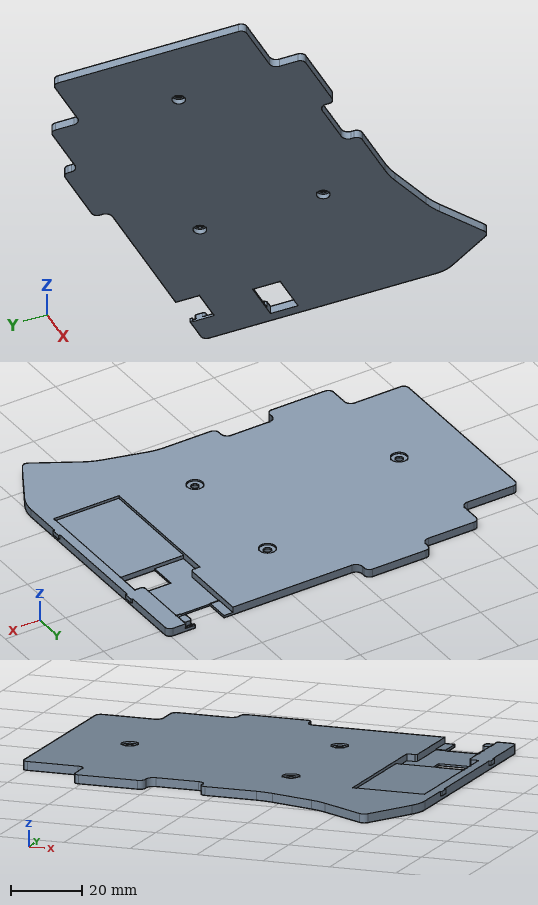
import cadquery as cq
import math

THICKNESS = 2.6
KEY_PITCH = 19.05
EDGE_MARGIN = 1.05
STAGGER = KEY_PITCH / 4
OVERALL_Y = 97.18
RIGHT_X = 122.55

OUTER_RADIUS = 1.7
INNER_RADIUS = 2.1
THUMB_RADIUS = 20.0
PALM_RADIUS = 11.6
THUMB_BEND = math.radians(15)
THUMB_START_X = 76.9
THUMB_BEND_X = 95.1

SCREW_DIAMETER = 2.4
HEAD_DIAMETER = 5.0
HEAD_DEPTH = 0.5
INSERT_DIAMETER = 3.8
INSERT_DEPTH = 1.6
SCREW_LEFT_X = 21.05
SCREW_RIGHT_X = 76.9
SCREW_MID_Y = 53.5

BUMP_REACH = 0.5
BUMP_LENGTH = 3.0
BUMP_HEIGHT = 1.3

BOARD_X = (101.0, 116.7)
BOARD_BOTTOM_Y = 70.3
BOARD_FLOOR = 0.6
BOARD_CORNER_CHAMFER = 0.6
BATTERY_X = (98.0, 119.6)
BATTERY_Y = (27.8, 61.8)
BATTERY_FLOOR = 1.75
CABLE_WINDOW_LEFT_X = 107.6

PORT_X = (103.95, 113.85)
PORT_BOTTOM_Y = 85.1
LEDGE_TOP = 0.8
LIP_LEFT_X = 113.45
LIP_WIDTH = 0.8
LIP_TOP = 1.0
SHOULDER_WIDTH = 0.4

POST_Y = (87.9, 91.2)
POST_TOP = 2.2
POST_CORNER_RADIUS = 0.7

tab_top_y = OVERALL_Y
main_top_y = tab_top_y - STAGGER
left_top_y = main_top_y - 2 * STAGGER
left_bottom_y = left_top_y - 3 * KEY_PITCH - 2 * EDGE_MARGIN
main_bottom_y = main_top_y - 4 * KEY_PITCH - 2 * EDGE_MARGIN
notch_bottom_y = main_bottom_y + STAGGER

step_x = KEY_PITCH
tab_left_x = 2 * KEY_PITCH
tab_right_x = 3 * KEY_PITCH + 2 * EDGE_MARGIN
notch_left_x = 2 * KEY_PITCH + 2 * EDGE_MARGIN
notch_right_x = 3 * KEY_PITCH

bump_mid_y = (left_top_y + left_bottom_y) / 2
bump_ys = (bump_mid_y - KEY_PITCH, bump_mid_y + KEY_PITCH)


def box(x_range, y_range, z_range):
    """Axis-aligned block between the given limits."""
    size = [high - low for low, high in (x_range, y_range, z_range)]
    corner = (x_range[0], y_range[0], z_range[0])
    return cq.Workplane("XY").box(*size, centered=False).translate(corner)


def make_plate():
    """Plate with the stepped key outline and the swept thumb corner."""
    thumb_bend_y = main_bottom_y - (THUMB_BEND_X - THUMB_START_X) * math.tan(THUMB_BEND)
    tip_angle = 2 * THUMB_BEND
    tip_y = OUTER_RADIUS * (1 - math.cos(tip_angle) - math.sin(tip_angle))
    tip_x = THUMB_BEND_X + (thumb_bend_y - tip_y) / math.tan(tip_angle)
    palm_y = tip_y + (RIGHT_X - tip_x) / math.tan(tip_angle)

    corners = [
        (0, left_bottom_y, OUTER_RADIUS),
        (step_x, left_bottom_y, INNER_RADIUS),
        (step_x, main_bottom_y, OUTER_RADIUS),
        (notch_left_x, main_bottom_y, OUTER_RADIUS),
        (notch_left_x, notch_bottom_y, INNER_RADIUS),
        (notch_right_x, notch_bottom_y, INNER_RADIUS),
        (notch_right_x, main_bottom_y, OUTER_RADIUS),
        (THUMB_START_X, main_bottom_y, THUMB_RADIUS),
        (THUMB_BEND_X, thumb_bend_y, THUMB_RADIUS),
        (tip_x, tip_y, OUTER_RADIUS),
        (RIGHT_X, palm_y, PALM_RADIUS),
        (RIGHT_X, main_top_y, OUTER_RADIUS),
        (tab_right_x, main_top_y, INNER_RADIUS),
        (tab_right_x, tab_top_y, OUTER_RADIUS),
        (tab_left_x, tab_top_y, OUTER_RADIUS),
        (tab_left_x, main_top_y, INNER_RADIUS),
        (step_x, main_top_y, OUTER_RADIUS),
        (step_x, left_top_y, INNER_RADIUS),
        (0, left_top_y, OUTER_RADIUS),
    ]
    outline = [(x, y) for x, y, radius in corners]
    plate = cq.Workplane("XY").polyline(outline).close().extrude(THICKNESS)
    for x, y, radius in corners:
        corner_edge = cq.selectors.NearestToPointSelector((x, y, THICKNESS / 2))
        plate = plate.edges(corner_edge).fillet(radius)
    return plate


def add_bumps(plate):
    """Small snap bumps along the upper half of the right-hand edge."""
    for y in bump_ys:
        bump = box(
            (RIGHT_X - BUMP_REACH, RIGHT_X + BUMP_REACH),
            (y - BUMP_LENGTH / 2, y + BUMP_LENGTH / 2),
            (THICKNESS - BUMP_HEIGHT, THICKNESS),
        )
        plate = plate.union(bump)
    return plate


def cut_screw_holes(plate):
    """Through holes with a head recess above and an insert recess below."""
    bores = [
        (SCREW_DIAMETER, 0, THICKNESS),
        (HEAD_DIAMETER, THICKNESS - HEAD_DEPTH, HEAD_DEPTH),
        (INSERT_DIAMETER, 0, INSERT_DEPTH),
    ]
    centres = [
        (SCREW_LEFT_X, SCREW_MID_Y),
        (SCREW_RIGHT_X, SCREW_MID_Y - KEY_PITCH),
        (SCREW_RIGHT_X, SCREW_MID_Y + KEY_PITCH),
    ]
    for diameter, bottom, height in bores:
        bore = cq.Workplane("XY").workplane(offset=bottom).pushPoints(centres).circle(diameter / 2)
        plate = plate.cut(bore.extrude(height))
    return plate


def corner_wedge(x):
    """Diamond prism that bevels a pocket corner at the controller's lower edge."""
    reach = BOARD_CORNER_CHAMFER
    y = BOARD_BOTTOM_Y
    diamond = [(x - reach, y), (x, y - reach), (x + reach, y), (x, y + reach)]
    depth = THICKNESS - BOARD_FLOOR
    return cq.Workplane("XY").workplane(offset=BOARD_FLOOR).polyline(diamond).close().extrude(depth)


def cut_pockets(plate):
    """Controller and battery pockets with the cable window between them."""
    open_depth = (BOARD_FLOOR, THICKNESS)
    shelf_y = (BATTERY_Y[1], BOARD_BOTTOM_Y)
    pockets = [
        box(BOARD_X, (BATTERY_Y[1], main_top_y), open_depth),
        box((BATTERY_X[0], BOARD_X[1]), shelf_y, open_depth),
        box(BATTERY_X, BATTERY_Y, (BATTERY_FLOOR, THICKNESS)),
        box((CABLE_WINDOW_LEFT_X, BATTERY_X[1]), shelf_y, (0, THICKNESS)),
    ]
    pockets += [corner_wedge(x) for x in BOARD_X]
    for pocket in pockets:
        plate = plate.cut(pocket)
    return plate


def cut_port(plate):
    """Connector opening through the top edge."""
    lip_bottom_y = main_top_y - LIP_WIDTH
    full_depth = (0, THICKNESS)
    plate = plate.cut(box((PORT_X[0], LIP_LEFT_X), (PORT_BOTTOM_Y, main_top_y), full_depth))
    return plate.cut(box((LIP_LEFT_X, PORT_X[1]), (PORT_BOTTOM_Y, lip_bottom_y), full_depth))


def add_ledges(plate):
    """Raised floor beside the opening, with a lip, a shoulder and a post on the right."""
    ledge_y = (PORT_BOTTOM_Y, main_top_y)
    shoulder_x = BOARD_X[1] - SHOULDER_WIDTH
    post = box((PORT_X[1], shoulder_x), POST_Y, (0, POST_TOP))
    additions = [
        box((BOARD_X[0], PORT_X[0]), ledge_y, (0, LEDGE_TOP)),
        box((PORT_X[1], BOARD_X[1]), ledge_y, (0, LEDGE_TOP)),
        box((shoulder_x, BOARD_X[1]), ledge_y, (0, LIP_TOP)),
        box((LIP_LEFT_X, BOARD_X[1]), (main_top_y - LIP_WIDTH, main_top_y), (0, LIP_TOP)),
        post.edges("|Z").fillet(POST_CORNER_RADIUS),
    ]
    for addition in additions:
        plate = plate.union(addition)
    return plate


plate = add_bumps(make_plate())
plate = cut_screw_holes(plate)
plate = cut_pockets(plate)
plate = cut_port(plate)
result = add_ledges(plate)